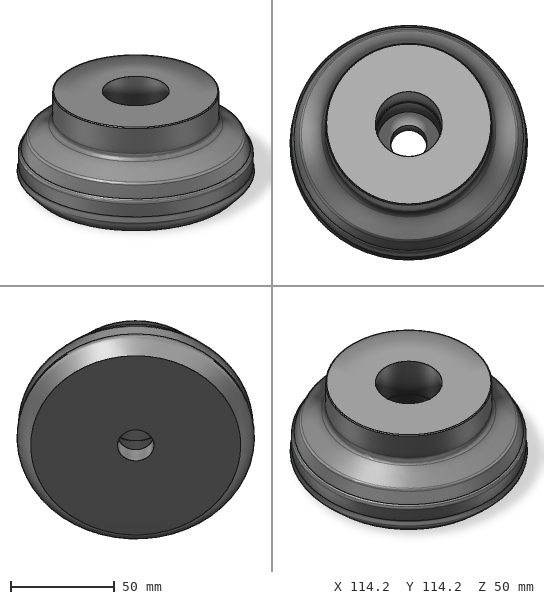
import cadquery as cq
import math

total_height = 50.04
pad_height = 10.4

neck_radius = 80 / 2
base_radius = 113.01 / 2
shoulder_radius = 52.35
shoulder_height = 26.25
roof_angle = 32.0
flank_angle = 22.5
base_chamfer_height = 18.13
base_chamfer_width = 1.27
neck_fillet = 4.0
shoulder_fillet = 2.5
base_fillet = 2.0
rim_chamfer = 0.5

bore_radius = 32.01 / 2
bore_depth = 20.5
lower_bore_radius = 30.9 / 2
bolt_hole_radius = 17.5 / 2

pad_radius = 114.21 / 2
pad_bottom_radius = 50.5
pad_groove_depth = 0.2
pad_groove_height = 9.9
pad_bulge_height = 7.6
bevel_top_height = 6.1
bevel_angle = 44.0
bevel_spans = 3


def circles_at(body, radius, height):
    """The circular edges of a revolved body with this radius and level."""
    reach = radius + 0.01
    slack = 0.01
    box = cq.selectors.BoxSelector(
        (-reach, -reach, height - slack), (reach, reach, height + slack), boundingbox=True
    )
    return body.edges(box).edges(cq.selectors.RadiusNthSelector(-1))


def make_hub():
    """Turned hub: neck, sloping roof, flank and base around a stepped bore."""
    roof_drop = (shoulder_radius - neck_radius) * math.tan(math.radians(roof_angle))
    neck_foot_height = shoulder_height + roof_drop
    flank_foot_height = base_chamfer_height + base_chamfer_width
    flank_run = (shoulder_height - flank_foot_height) * math.tan(math.radians(flank_angle))
    flank_foot_radius = shoulder_radius + flank_run
    ledge_height = total_height - bore_depth

    profile = [
        (lower_bore_radius, pad_height),
        (base_radius, pad_height),
        (base_radius, base_chamfer_height),
        (flank_foot_radius, flank_foot_height),
        (shoulder_radius, shoulder_height),
        (neck_radius, neck_foot_height),
        (neck_radius, total_height),
        (bore_radius, total_height),
        (bore_radius, ledge_height),
        (lower_bore_radius, ledge_height),
    ]
    body = cq.Workplane("XZ").polyline(profile).close().revolve(360, (0, 0), (0, 1))
    body = circles_at(body, neck_radius, neck_foot_height).fillet(neck_fillet)
    body = circles_at(body, shoulder_radius, shoulder_height).fillet(shoulder_fillet)
    body = circles_at(body, base_radius, base_chamfer_height).fillet(base_fillet)
    return circles_at(body, neck_radius, total_height).chamfer(rim_chamfer).solids()


def make_pad():
    """Bulged pad under the hub, with a bevelled lower edge and the bolt hole."""
    bevel_slope = math.tan(math.radians(bevel_angle))
    bevel_step = bevel_top_height / bevel_spans
    bevel_levels = [bevel_step * count for count in range(bevel_spans, -1, -1)]
    bevel_points = [(pad_bottom_radius + level * bevel_slope, level) for level in bevel_levels]
    side_points = [
        (base_radius - pad_groove_depth, pad_groove_height),
        (pad_radius, pad_bulge_height),
        *bevel_points,
    ]
    outline = (
        cq.Workplane("XZ")
        .moveTo(bolt_hole_radius, 0)
        .lineTo(bolt_hole_radius, pad_height)
        .lineTo(base_radius, pad_height)
        .spline(side_points, includeCurrent=True)
        .close()
    )
    return outline.revolve(360, (0, 0), (0, 1))


hub = make_hub()
pad = make_pad()
result = cq.Compound.makeCompound([hub.val(), pad.val()])